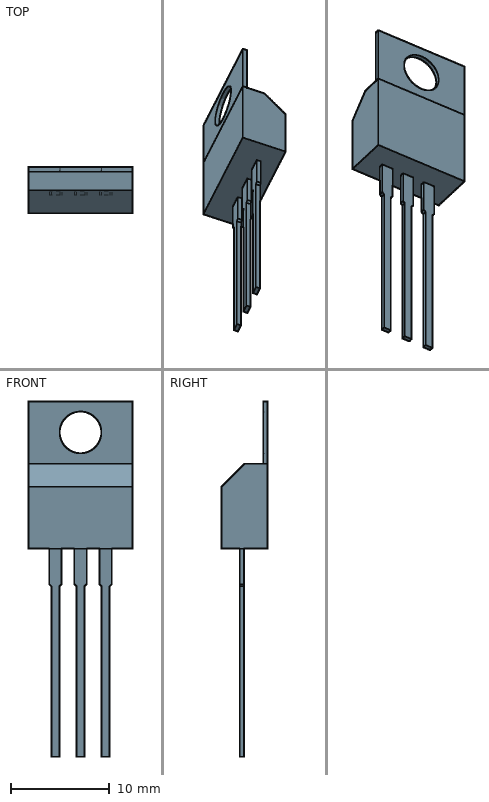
import cadquery as cq


width = 10.54
depth = 4.70
total_height = 36.02

package_height = 14.93
tab_height = 6.30
housing_height = package_height - tab_height
housing_bevel = depth / 2

tab_thickness = 0.47
hole_diameter = 4.20
hole_to_tab_top = tab_height / 2

lead_count = 3
lead_pitch = 2.54
lead_thickness = 0.45
lead_setback = 2.39
lead_length = total_height - package_height
shoulder_width = 1.27
lead_width = 0.84
shoulder_length = 3.81
shoulder_taper = (shoulder_width - lead_width) / 2


def make_housing():
    """Molded block with a bevelled front top edge."""
    profile = [
        (0, 0),
        (-depth, 0),
        (-depth, housing_height - housing_bevel),
        (-depth + housing_bevel, housing_height),
        (0, housing_height),
    ]
    return cq.Workplane("YZ").polyline(profile).close().extrude(width / 2, both=True)


def make_tab():
    """Thin plate standing on the housing, flush with its back, with a through hole."""
    plate = (
        cq.Workplane("XY")
        .box(width, tab_thickness, tab_height, centered=(True, False, False))
        .translate((0, -tab_thickness, housing_height))
    )
    hole = (
        cq.Workplane("XZ")
        .center(0, package_height - hole_to_tab_top)
        .circle(hole_diameter / 2)
        .extrude(tab_thickness)
    )
    return plate.cut(hole)


def make_lead(x):
    """Flat lead below the housing, wide at the top and tapering to a narrow leg."""
    half_shoulder = shoulder_width / 2
    half_lead = lead_width / 2
    outline = [
        (x + half_shoulder, 0),
        (x + half_shoulder, shoulder_taper - shoulder_length),
        (x + half_lead, -shoulder_length),
        (x + half_lead, -lead_length),
        (x - half_lead, -lead_length),
        (x - half_lead, -shoulder_length),
        (x - half_shoulder, shoulder_taper - shoulder_length),
        (x - half_shoulder, 0),
    ]
    return (
        cq.Workplane("XZ", origin=(0, -lead_setback, 0))
        .polyline(outline)
        .close()
        .extrude(lead_thickness)
    )


housing = make_housing()
tab = make_tab()
first_lead_x = -lead_pitch * (lead_count - 1) / 2
leads = [make_lead(first_lead_x + i * lead_pitch) for i in range(lead_count)]

result = cq.Compound.makeCompound(
    [housing.val(), tab.val(), *[lead.val() for lead in leads]]
)